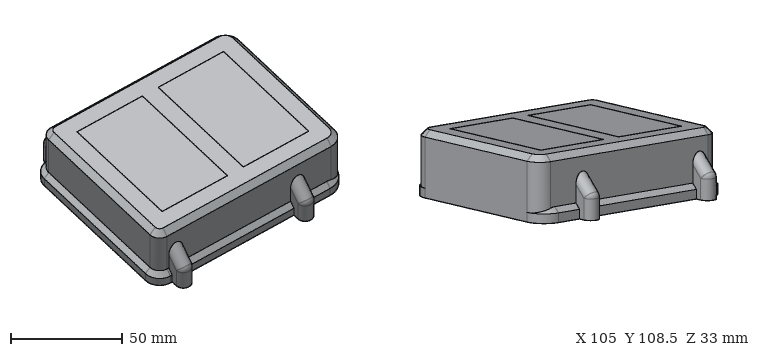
import cadquery as cq
import math

housing_width = 86.0
housing_length = 106.0
housing_height = 31.0
housing_top_chamfer = 3.0
housing_front_radius = 5.5
housing_back_radius = 7.5

flange_overhang = 2.5
flange_height = 7.0
flange_width = housing_width + 2 * flange_overhang
flange_length = housing_length + flange_overhang
flange_front_radius = housing_front_radius + flange_overhang
flange_back_radius = housing_back_radius + flange_overhang

housing_center_y = flange_overhang / 2

label_width = 63.0
label_length = 37.0
label_pitch = 46.0
label_depth = 0.1

lug_span = 105.0
lug_radius = 4.0
lug_bend_height = 10.0
lug_slope_angle = 45.0
lug_embed = 2 * lug_radius
lug_front_y = -41.25
lug_back_y = 27.75

pin_diameter = 2.2
pin_length = 2.0
pin_spacing = 62.5
pin_y = -41.75


def rounded_block(width, length, height, front_radius, back_radius, center_y, top_chamfer):
    """Upright block with separate front and back corner radii and a chamfered top edge."""
    block = cq.Workplane("XY").center(0, center_y).rect(width, length).extrude(height)
    block = block.edges("|Z and <Y").fillet(front_radius)
    block = block.edges("|Z and >Y").fillet(back_radius)
    return block.faces(">Z").edges().chamfer(top_chamfer)


def make_lug(y):
    """Lug on the -X side: upright round post, ball at the bend, crest sloping up into the wall."""
    bend_x = -lug_span / 2 + lug_radius
    slope = math.radians(lug_slope_angle)
    inner_x = -housing_width / 2 + lug_embed
    run = inner_x - bend_x
    inner_height = lug_bend_height + run * math.tan(slope)

    post = cq.Workplane("XY").center(bend_x, y).circle(lug_radius).extrude(lug_bend_height)
    ball = cq.Workplane("XY").sphere(lug_radius).translate((bend_x, y, lug_bend_height))
    web = (
        cq.Workplane("XZ", origin=(0, y, 0))
        .moveTo(bend_x, 0)
        .lineTo(inner_x, 0)
        .lineTo(inner_x, inner_height)
        .lineTo(bend_x, lug_bend_height)
        .close()
        .extrude(lug_radius, both=True)
    )
    crest_plane = cq.Plane(
        origin=(bend_x, y, lug_bend_height),
        xDir=(0, 1, 0),
        normal=(math.cos(slope), 0, math.sin(slope)),
    )
    crest = cq.Workplane(crest_plane).circle(lug_radius).extrude(run / math.cos(slope))
    return post.union(web).union(crest).union(ball)


def make_labels():
    """Cutter for the two label recesses, one behind the other and centred on the housing."""
    return (
        cq.Workplane("XY", origin=(0, housing_center_y, housing_height))
        .rarray(1, label_pitch, 1, 2)
        .rect(label_width, label_length)
        .extrude(-label_depth)
    )


def make_pins():
    """The two locating pins hanging below the base."""
    return (
        cq.Workplane("XY", origin=(0, pin_y, 0))
        .rarray(pin_spacing, 1, 2, 1)
        .circle(pin_diameter / 2)
        .extrude(-pin_length)
    )


housing = rounded_block(
    housing_width,
    housing_length,
    housing_height,
    housing_front_radius,
    housing_back_radius,
    housing_center_y,
    housing_top_chamfer,
)
flange = rounded_block(
    flange_width,
    flange_length,
    flange_height,
    flange_front_radius,
    flange_back_radius,
    0,
    flange_overhang,
)
result = housing.union(flange)

for lug_y in (lug_front_y, lug_back_y):
    lug = make_lug(lug_y)
    result = result.union(lug).union(lug.mirror("YZ"))

result = result.cut(make_labels())
result = result.union(make_pins())